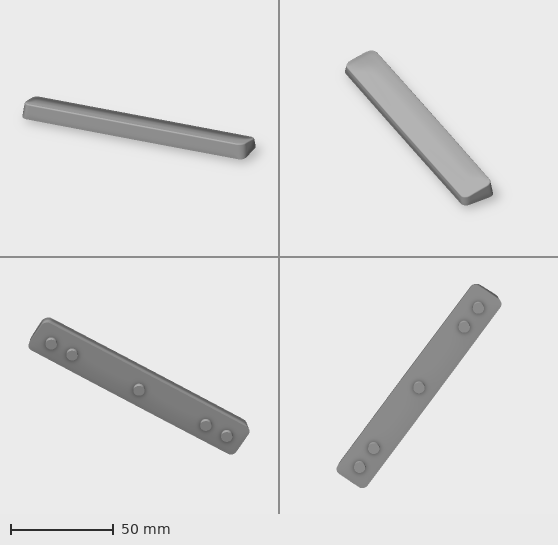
import cadquery as cq
import math

length = 118.01
width = 18.0
total_height = 9.9
stem_height = 2.2
body_height = total_height - stem_height

long_side_bow = 0.14
short_side_bow = 0.1
wall_draft = math.radians(6.0)
base_corner_radius = 3.0
upper_corner_radius = 4.0

crown_back_height = 4.15
crown_front_height = 7.88
crown_mid_height = 6.4
rim_radius = 0.6

stem_diameter = 5.5
stem_positions = (-50.0, -38.1, 0.0, 38.1, 50.0)

half_length = length / 2
half_width = width / 2
trim_allowance = 1.0
block_height = body_height + trim_allowance


def make_wall_outline(height, corner_radius):
    """Closed outline of the wall at a given height: four bowed sides with rounded corners."""
    inset = height * math.tan(wall_draft)
    side_x = half_length - inset
    side_y = half_width - inset
    corner_x = side_x - short_side_bow
    corner_y = side_y - long_side_bow
    sharp_outline = (
        cq.Workplane("XY", origin=(0, 0, height))
        .moveTo(-corner_x, -corner_y)
        .threePointArc((0, -side_y), (corner_x, -corner_y))
        .threePointArc((side_x, 0), (corner_x, corner_y))
        .threePointArc((0, side_y), (-corner_x, corner_y))
        .threePointArc((-side_x, 0), (-corner_x, -corner_y))
        .close()
        .val()
    )
    return sharp_outline.fillet2D(corner_radius, sharp_outline.Vertices())


def make_drafted_block():
    """Tapered block with bowed sides, taller than the finished body."""
    base = make_wall_outline(0.0, base_corner_radius)
    upper = make_wall_outline(block_height, upper_corner_radius)
    return cq.Workplane(cq.Solid.makeLoft([base, upper], True))


def make_crown_envelope():
    """Prism along X whose upper surface is the sloping, convex top."""
    return (
        cq.Workplane("YZ")
        .moveTo(-half_width, 0)
        .lineTo(-half_width, crown_front_height)
        .threePointArc((0, crown_mid_height), (half_width, crown_back_height))
        .lineTo(half_width, 0)
        .close()
        .extrude(half_length, both=True)
    )


def make_body():
    """Drafted block cut to the sloping top, with the top rim rounded."""
    body = make_drafted_block().intersect(make_crown_envelope())
    return body.faces(">Z").edges().fillet(rim_radius)


def make_stems():
    """Round stems hanging below the body."""
    return (
        cq.Workplane("XY")
        .pushPoints([(x, 0) for x in stem_positions])
        .circle(stem_diameter / 2)
        .extrude(-stem_height)
    )


result = make_body().union(make_stems())